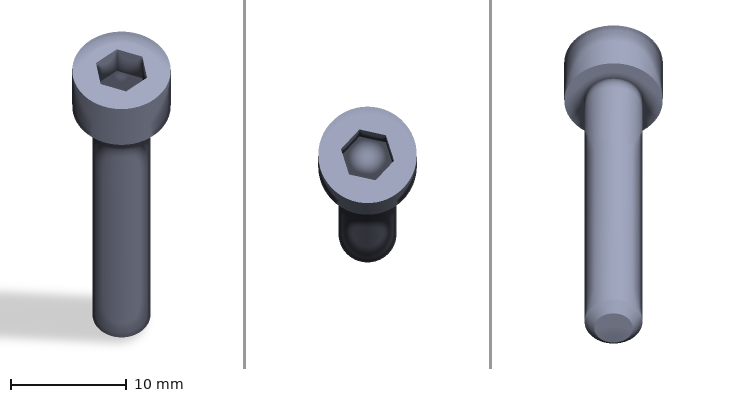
import cadquery as cq

total_length = 35.0
head_diameter = 8.5
head_height = 5.0
shank_diameter = 5.0
thread_length = 22.05
tip_chamfer = 0.85
socket_across_corners = 4.7
socket_depth = 3.0

shank_length = total_length - head_height


def cylinder(diameter, base_height, length):
    return cq.Workplane("XY").workplane(offset=base_height).circle(diameter / 2).extrude(length)


thread = cylinder(shank_diameter, 0, thread_length).faces("<Z").chamfer(tip_chamfer)

grip = cylinder(shank_diameter, thread_length, shank_length - thread_length)

head = cylinder(head_diameter, shank_length, head_height)

socket = (
    cq.Workplane("XY")
    .workplane(offset=total_length)
    .polygon(6, socket_across_corners)
    .extrude(-socket_depth)
)

result = thread.union(grip, clean=False).union(head, clean=False).cut(socket, clean=False)